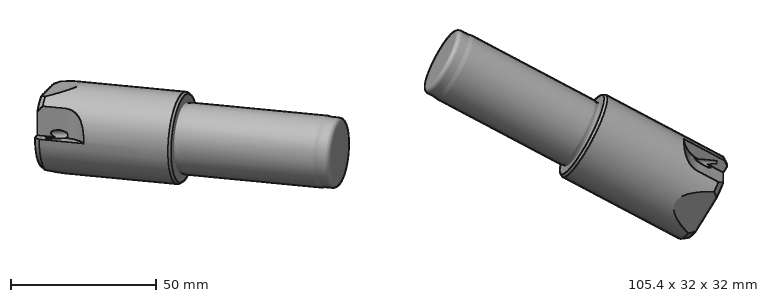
import cadquery as cq
import math

total_length = 105.4
head_diameter = 32.0
head_length = 49.3
front_chamfer_length = 2.0
front_chamfer_depth = 1.4
rear_chamfer_length = 1.0
rear_chamfer_depth = 0.6

shank_diameter = 25.0
relief_diameter = 24.5
neck_fillet = 0.2
neck_end = 50.2
shank_start = 51.2
shank_end = 99.7
tail_start = 101.2
tail_fillet = 1.6

flat_half_height = 12.8
flat_angle = 15.0

pocket_wall_offset = 11.9
pocket_straight_length = 10.0
pocket_runout_radius = 10.0

coolant_diameter = 3.0
coolant_wall_x = 8.1
coolant_wall_z = 1.2
coolant_angle = 28.0
coolant_overrun = 4.6

head_radius = head_diameter / 2
shank_radius = shank_diameter / 2
relief_radius = relief_diameter / 2
clearance = 1.1


def turned_body():
    """Revolve the half profile of head, neck and shank about X."""
    arc_mid = math.sqrt(0.5)
    tail_center_x = total_length - tail_fillet
    tail_center_r = relief_radius - tail_fillet
    neck_center_x = head_length + neck_fillet
    neck_center_r = relief_radius + neck_fillet
    profile = (
        cq.Workplane("XY")
        .lineTo(0, head_radius - front_chamfer_depth)
        .lineTo(front_chamfer_length, head_radius)
        .lineTo(head_length - rear_chamfer_length, head_radius)
        .lineTo(head_length, head_radius - rear_chamfer_depth)
        .lineTo(head_length, neck_center_r)
        .threePointArc(
            (neck_center_x - neck_fillet * arc_mid, neck_center_r - neck_fillet * arc_mid),
            (neck_center_x, relief_radius),
        )
        .lineTo(neck_end, relief_radius)
        .lineTo(shank_start, shank_radius)
        .lineTo(shank_end, shank_radius)
        .lineTo(tail_start, relief_radius)
        .lineTo(tail_center_x, relief_radius)
        .threePointArc(
            (tail_center_x + tail_fillet * arc_mid, tail_center_r + tail_fillet * arc_mid),
            (total_length, tail_center_r),
        )
        .lineTo(total_length, 0)
        .close()
    )
    return profile.revolve(360, (0, 0, 0), (1, 0, 0))


def flat_cutter():
    """Wedge above the upper sloping flat."""
    slope = math.tan(math.radians(flat_angle))
    top = head_radius + clearance
    return (
        cq.Workplane("XZ")
        .moveTo(-clearance, flat_half_height - clearance * slope)
        .lineTo((top - flat_half_height) / slope, top)
        .lineTo(-clearance, top)
        .close()
        .extrude(head_radius, both=True)
    )


def pocket_cutter():
    """Pocket on the -Y side, with its seat on the plane Z = 0 and open above."""
    arc_center_y = -pocket_wall_offset - pocket_runout_radius
    arc_mid = pocket_runout_radius * math.sqrt(0.5)
    return (
        cq.Workplane("XY")
        .moveTo(-clearance, -pocket_wall_offset)
        .lineTo(pocket_straight_length, -pocket_wall_offset)
        .threePointArc(
            (pocket_straight_length + arc_mid, arc_center_y + arc_mid),
            (pocket_straight_length + pocket_runout_radius, arc_center_y),
        )
        .lineTo(-clearance, arc_center_y)
        .close()
        .extrude(head_radius)
    )


def coolant_cutter():
    """Hole from the tool axis, slanting forward and slightly up through the pocket wall."""
    axis_x = coolant_wall_x + pocket_wall_offset / math.tan(math.radians(coolant_angle))
    start = cq.Vector(axis_x, 0, 0)
    run = cq.Vector(coolant_wall_x, -pocket_wall_offset, coolant_wall_z) - start
    length = run.Length + coolant_overrun
    return cq.Workplane(cq.Solid.makeCylinder(coolant_diameter / 2, length, start, run))


result = turned_body()
for turn in (0, 180):
    for cutter in (flat_cutter(), pocket_cutter(), coolant_cutter()):
        result = result.cut(cutter.rotate((0, 0, 0), (1, 0, 0), turn))